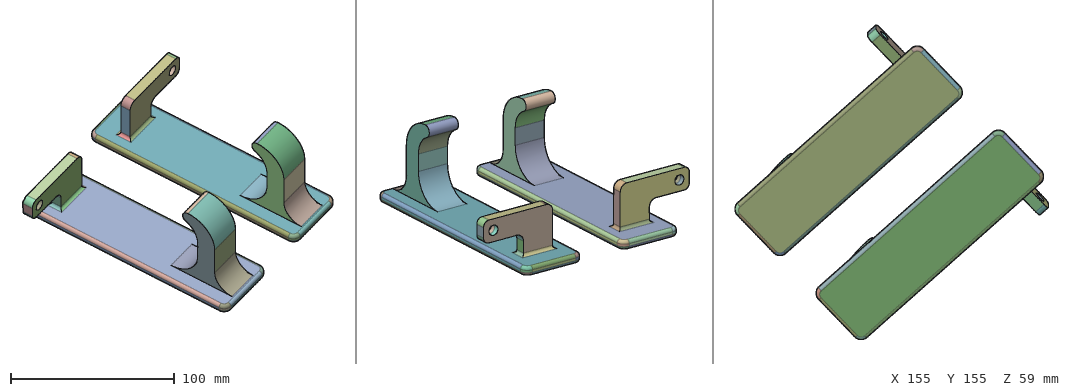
import cadquery as cq
import math


plate_length = 155.0
plate_width = 43.2
plate_thickness = 6.0
plate_corner_radius = 5.3
plate_edge_radius = 2.2
plate_center_y = 36.5

arm_outer_y = plate_length / 2
arm_center_x = 20.3
arm_thickness = 7.0
arm_top_z = 36.0
flag_height = 15.0
flag_corner_radius = 4.0
post_width = 22.0
post_top_radius = 5.0
inner_corner_radius = 5.0
post_foot_radius = 2.0
hole_diameter = 6.7
hole_to_flag_end = flag_height / 2

hook_width = post_width
hook_top_z = 59.0
stem_back_x = 138.9
stem_thickness = 12.7
crown_radius = 20.0
tip_radius = 4.0
throat_radius = 15.2
front_foot_radius = crown_radius
back_foot_radius = 13.0

post_inner_y = plate_center_y - post_width / 2
post_outer_y = plate_center_y + post_width / 2


def arc_point(center, radius, angle):
    """Point on a circle, with the angle in degrees from +X toward +Z."""
    turn = math.radians(angle)
    return (center[0] + radius * math.cos(turn), center[1] + radius * math.sin(turn))


def make_plate():
    return (
        cq.Workplane("XY")
        .box(plate_length, plate_width, plate_thickness, centered=(False, True, False))
        .translate((0, plate_center_y, 0))
        .edges("|Z")
        .fillet(plate_corner_radius)
        .faces("<Z or >Z")
        .edges()
        .fillet(plate_edge_radius)
    )


def make_arm():
    """Arm standing on the plate, its outline drawn in the YZ plane."""
    flag_bottom_z = arm_top_z - flag_height
    arm = (
        cq.Workplane("YZ", origin=(arm_center_x, 0, 0))
        .moveTo(post_inner_y, plate_thickness)
        .lineTo(post_outer_y, plate_thickness)
        .lineTo(post_outer_y, flag_bottom_z)
        .lineTo(arm_outer_y, flag_bottom_z)
        .lineTo(arm_outer_y, arm_top_z)
        .lineTo(post_inner_y, arm_top_z)
        .close()
        .extrude(arm_thickness / 2, both=True)
    )
    arm = arm.faces(">Y").edges("|X").fillet(flag_corner_radius)
    top_corner = (arm_center_x, post_inner_y, arm_top_z)
    arm = arm.edges(cq.NearestToPointSelector(top_corner)).fillet(post_top_radius)
    inner_corner = (arm_center_x, post_outer_y, flag_bottom_z)
    arm = arm.edges(cq.NearestToPointSelector(inner_corner)).fillet(inner_corner_radius)
    hole = (
        cq.Workplane("YZ", origin=(arm_center_x, 0, 0))
        .center(arm_outer_y - hole_to_flag_end, arm_top_z - flag_height / 2)
        .circle(hole_diameter / 2)
        .extrude(arm_thickness, both=True)
    )
    return arm.cut(hole)


def fillet_post_foot(bracket):
    """Round the inside corner where the post meets the plate."""
    margin = post_foot_radius / 2
    foot_edges = cq.selectors.BoxSelector(
        (arm_center_x - arm_thickness / 2 - margin, post_inner_y - margin, plate_thickness - margin),
        (arm_center_x + arm_thickness / 2 + margin, post_outer_y + margin, plate_thickness + margin),
    )
    return bracket.edges(foot_edges).fillet(post_foot_radius)


def make_hook():
    """Hook standing on the plate, its outline drawn in the XZ plane."""
    stem_front_x = stem_back_x - stem_thickness
    crown_center = (stem_back_x - crown_radius, hook_top_z - crown_radius)
    tip_center = (crown_center[0], hook_top_z - tip_radius)

    throat_x = stem_front_x - throat_radius
    throat_rise = math.sqrt((throat_radius + tip_radius) ** 2 - (tip_center[0] - throat_x) ** 2)
    throat_center = (throat_x, tip_center[1] - throat_rise)
    throat_angle = math.degrees(math.atan2(throat_rise, tip_center[0] - throat_x))

    front_foot_center = (stem_front_x - front_foot_radius, plate_thickness + front_foot_radius)
    back_foot_center = (stem_back_x + back_foot_radius, plate_thickness + back_foot_radius)

    outline = (
        cq.Workplane("XZ", origin=(0, plate_center_y, 0))
        .moveTo(front_foot_center[0], plate_thickness)
        .threePointArc(
            arc_point(front_foot_center, front_foot_radius, -45),
            (stem_front_x, front_foot_center[1]),
        )
        .lineTo(stem_front_x, throat_center[1])
        .threePointArc(
            arc_point(throat_center, throat_radius, throat_angle / 2),
            arc_point(throat_center, throat_radius, throat_angle),
        )
        .threePointArc(
            arc_point(tip_center, tip_radius, 180),
            (tip_center[0], hook_top_z),
        )
        .threePointArc(
            arc_point(crown_center, crown_radius, 45),
            (stem_back_x, crown_center[1]),
        )
        .lineTo(stem_back_x, back_foot_center[1])
        .threePointArc(
            arc_point(back_foot_center, back_foot_radius, 225),
            (back_foot_center[0], plate_thickness),
        )
        .close()
    )
    return outline.extrude(hook_width / 2, both=True)


def make_bracket():
    bracket = make_plate().union(make_arm())
    bracket = fillet_post_foot(bracket)
    return bracket.union(make_hook())


rear_bracket = make_bracket()
front_bracket = rear_bracket.mirror("XZ")

result = cq.Compound.makeCompound([rear_bracket.val(), front_bracket.val()])